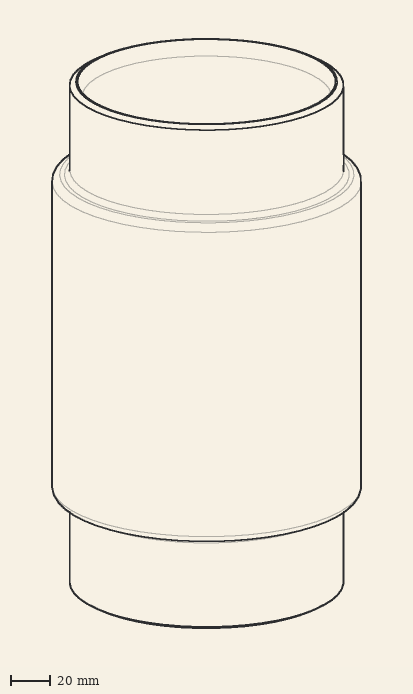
import cadquery as cq

length = 272.0
neck_radius = 70.0
bore_radius = 63.6

sleeve_radius = 79.0
neck_length = 50.0
sleeve_length = length - 2 * neck_length

sleeve_edge_round = 3.8
neck_root_round = 2.7
rim_chamfer_width = 3.3
rim_chamfer_height = 2.0

mouth_radius = 65.8
mouth_depth = 8.2


def make_body():
    """Full-length neck cylinder with the sleeve centred on it, still solid inside."""
    neck = cq.Workplane("XY").circle(neck_radius).extrude(length)
    neck = neck.faces("<Z or >Z").chamfer(rim_chamfer_height, rim_chamfer_width)
    sleeve = (
        cq.Workplane("XY")
        .workplane(offset=neck_length)
        .circle(sleeve_radius)
        .extrude(sleeve_length)
        .edges()
        .fillet(sleeve_edge_round)
    )
    body = neck.union(sleeve)
    reach = neck_radius + neck_root_round
    root_circles = cq.selectors.BoxSelector(
        (-reach, -reach, neck_length - neck_root_round),
        (reach, reach, length - neck_length + neck_root_round),
        boundingbox=True,
    )
    return body.edges(root_circles).fillet(neck_root_round)


def make_bore():
    """Through bore that flares out to the mouth radius at both ends."""
    return (
        cq.Workplane("XZ")
        .polyline(
            [
                (0, 0),
                (mouth_radius, 0),
                (bore_radius, mouth_depth),
                (bore_radius, length - mouth_depth),
                (mouth_radius, length),
                (0, length),
            ]
        )
        .close()
        .revolve(axisStart=(0, 0, 0), axisEnd=(0, 1, 0))
    )


result = make_body().cut(make_bore())